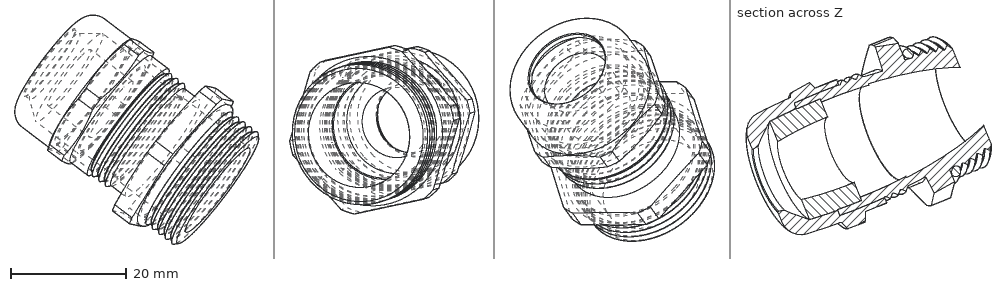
import cadquery as cq
import math

AXIS_TURN = 22.15
AXIS_DROP = 17.5
HEX_ROLL = 8.0

SEAL_RADIUS = 19.15 / 2
SEAL_BORE_RADIUS = 12.2 / 2
SEAL_FACE = 4.38
SEAL_END = 13.6

CAP_RADIUS = 23.6 / 2
CAP_FILLET = 3.05
CAP_LIP_RADIUS = 14.3 / 2
LIP_CHAMFER = 0.15
LIP_LENGTH = 1.15
CAP_CONE_START = 9.1
CAP_HEX_APOTHEM = 12.0
CAP_HEX_CORNER = 13.2
CAP_HEX_START = 9.7
CAP_HEX_END = 12.85
CAP_REAR_START = 13.48
CAP_REAR_RADIUS = 23.15 / 2
CAP_END = 17.3

HOUSING_START = 9.35
HOUSING_END = 36.95
HOUSING_BORE_RADIUS = 17.75 / 2
WIDE_BORE_START = 21.9
WIDE_BORE_RADIUS = 18.25 / 2
NECK_RADIUS = 21.1 / 2
BODY_HEX_APOTHEM = 13.495
BODY_HEX_CORNER = 14.9
BODY_HEX_CONE_START = 24.83
BODY_HEX_START = 25.2
BODY_HEX_END = 29.0

PITCH = 1.425
THREAD_DEPTH = 0.65
FLANK = 0.65
CREST = 0.05
CAP_THREAD_CREST = 18.1
CAP_THREAD_TURNS = 3
END_THREAD_CREST = 30.6
END_THREAD_TURNS = 5
END_THREAD_RADIUS = 12.2

RING_OUTER_RADIUS = 25.97 / 2
RING_SECTION_RADIUS = 0.8
RING_GROOVE_RADIUS = RING_OUTER_RADIUS - 2 * RING_SECTION_RADIUS


def revolve(outline):
    """Close an outline of (station, radius) points and turn it about the axis."""
    return outline.close().revolve(360, (0, 0, 0), (1, 0, 0))


def hexagon(start, end, apothem):
    """Hexagonal bar between two stations."""
    return (
        cq.Workplane("YZ", origin=(start, 0, 0))
        .polygon(6, 2 * apothem / math.cos(math.pi / 6))
        .extrude(end - start)
        .rotate((0, 0, 0), (1, 0, 0), HEX_ROLL)
    )


def ridges(first_crest, turns, crest_radius):
    """Outline points of ring-shaped thread ridges, one per turn."""
    root_radius = crest_radius - THREAD_DEPTH
    points = []
    for turn in range(turns):
        crest = first_crest + turn * PITCH
        points += [
            (crest - CREST / 2 - FLANK, root_radius),
            (crest - CREST / 2, crest_radius),
            (crest + CREST / 2, crest_radius),
            (crest + CREST / 2 + FLANK, root_radius),
        ]
    return points


def tilt(body):
    """Swing a body from the X axis onto the gland axis."""
    dropped = body.rotate((0, 0, 0), (0, 1, 0), AXIS_DROP)
    return dropped.rotate((0, 0, 0), (0, 0, 1), AXIS_TURN)


def make_cap():
    """Rounded cap with a hexagon chamfered on both sides and a lip in front of the seal."""
    fillet_middle = CAP_FILLET * (1 - math.sqrt(0.5))
    turned = revolve(
        cq.Workplane("XY")
        .moveTo(0, CAP_LIP_RADIUS + LIP_CHAMFER)
        .lineTo(0, CAP_RADIUS - CAP_FILLET)
        .threePointArc((fillet_middle, CAP_RADIUS - fillet_middle), (CAP_FILLET, CAP_RADIUS))
        .lineTo(CAP_CONE_START, CAP_RADIUS)
        .lineTo(CAP_HEX_START, CAP_HEX_CORNER)
        .lineTo(CAP_HEX_END, CAP_HEX_CORNER)
        .lineTo(CAP_REAR_START, CAP_REAR_RADIUS)
        .lineTo(CAP_END, CAP_REAR_RADIUS)
        .lineTo(CAP_END, NECK_RADIUS)
        .lineTo(HOUSING_START, NECK_RADIUS)
        .lineTo(HOUSING_START, SEAL_RADIUS)
        .lineTo(SEAL_FACE, SEAL_RADIUS)
        .lineTo(LIP_LENGTH, CAP_LIP_RADIUS)
        .lineTo(LIP_CHAMFER, CAP_LIP_RADIUS)
    )
    hex_blank = hexagon(CAP_CONE_START, CAP_REAR_START, CAP_HEX_APOTHEM)
    round_blank = cq.Workplane("YZ").circle(CAP_RADIUS).extrude(CAP_END)
    return turned.intersect(hex_blank.union(round_blank))


def make_seal():
    """Plain sleeve held between the cap and the housing."""
    return (
        cq.Workplane("YZ", origin=(SEAL_FACE, 0, 0))
        .circle(SEAL_RADIUS)
        .circle(SEAL_BORE_RADIUS)
        .extrude(SEAL_END - SEAL_FACE)
    )


def make_housing():
    """Threaded body with a hexagon, an O-ring groove and a stepped bore."""
    outline = [(HOUSING_START, SEAL_RADIUS), (HOUSING_START, NECK_RADIUS)]
    outline += ridges(CAP_THREAD_CREST, CAP_THREAD_TURNS, NECK_RADIUS + THREAD_DEPTH)
    outline += [
        (BODY_HEX_CONE_START, NECK_RADIUS),
        (BODY_HEX_START, BODY_HEX_CORNER),
        (BODY_HEX_END, BODY_HEX_CORNER),
        (BODY_HEX_END, RING_GROOVE_RADIUS),
    ]
    end_ridges = ridges(END_THREAD_CREST, END_THREAD_TURNS, END_THREAD_RADIUS)
    outline.append((BODY_HEX_END + RING_SECTION_RADIUS, RING_GROOVE_RADIUS))
    outline += end_ridges
    last_station = end_ridges[-1][0]
    outline += [
        (last_station, WIDE_BORE_RADIUS),
        (WIDE_BORE_START, WIDE_BORE_RADIUS),
        (WIDE_BORE_START, HOUSING_BORE_RADIUS),
        (SEAL_END, HOUSING_BORE_RADIUS),
        (SEAL_END, SEAL_RADIUS),
    ]
    turned = revolve(cq.Workplane("XY").polyline(outline))
    hex_blank = hexagon(BODY_HEX_CONE_START, BODY_HEX_END, BODY_HEX_APOTHEM)
    round_blank = cq.Workplane("YZ").circle(END_THREAD_RADIUS).extrude(HOUSING_END)
    return turned.intersect(hex_blank.union(round_blank)).cut(make_ring())


def make_ring():
    """O-ring lying against the back of the housing hexagon."""
    centre_radius = RING_OUTER_RADIUS - RING_SECTION_RADIUS
    return (
        cq.Workplane("XY")
        .center(BODY_HEX_END + RING_SECTION_RADIUS, centre_radius)
        .circle(RING_SECTION_RADIUS)
        .revolve(360, (0, -centre_radius, 0), (1, -centre_radius, 0))
    )


cap = tilt(make_cap())
seal = tilt(make_seal())
housing = tilt(make_housing())
ring = tilt(make_ring())

result = cq.Compound.makeCompound([cap.val(), seal.val(), housing.val(), ring.val()])